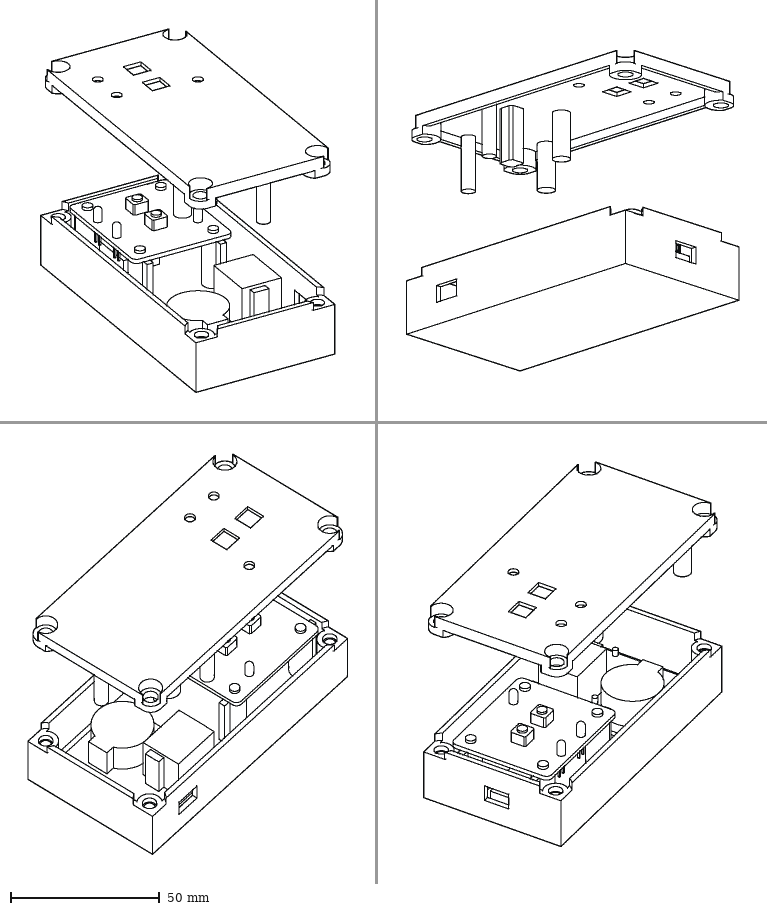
import cadquery as cq
LENGTH = 104.0
WIDTH = 54.0
WALL = 2.0
FLOOR = 2.8
BOX_HEIGHT = 22.0
TOTAL_HEIGHT = 76.7

NOTCH_DEPTH = 3.0
NOTCH_DIAMETER = 11.0
SHELF_Z = BOX_HEIGHT - NOTCH_DEPTH

POST_INSET_X = 4.0
POST_INSET_Y = 4.5
POST_DIAMETER = 8.7
POST_BOTTOM = 6.5
THREAD_MAJOR_DIAMETER = 4.83
THREAD_MINOR_DIAMETER = 3.82
THREAD_DEPTH = 2.0

WINDOW_WIDTH = 9.5
WINDOW_HEIGHT = 6.0
WINDOW_BOTTOM = 7.9
USB_Y = 25.3
CABLE_X = 85.0

CONTROL_X = 27.0
CONTROL_Y = 27.0
CONTROL_LENGTH = 44.5
CONTROL_WIDTH = 38.5
CONTROL_CORNER = 2.2
BOARD_THICKNESS = 1.6
CONTROL_BOTTOM = 21.1
CONTROL_TOP = CONTROL_BOTTOM + BOARD_THICKNESS
SUPPORT_SPACING_X = 35.1
SUPPORT_SPACING_Y = 28.5
SUPPORT_DIAMETER = 8.0
SUPPORT_RIB_REACH = 6.8
SUPPORT_RIB_WIDTH = 2.4
PEG_DIAMETER = 3.6
PEG_TOP = CONTROL_TOP + 1.1

BUTTON_PLACES = [(18.8, 26.6), (31.5, 26.6)]
BUTTON_SIZE = 6.0
BUTTON_HEIGHT = 4.0
BUTTON_CHAMFER = 0.5
CAP_DIAMETER = 3.5
CAP_HEIGHT = 0.8
LED_PLACES = [(18.8, 11.3), (31.5, 11.3), (35.7, 40.4)]
LED_DIAMETER = 3.0
LED_BODY_HEIGHT = 3.8
LED_PIN_SIZE = 0.6
LED_PIN_SPACING = 2.54
LED_PIN_BOTTOM = 14.0

RELAY_BOARD_X = (60.4, 99.5)
RELAY_BOARD_Y = (4.8, 49.2)
RELAY_BOARD_TOP = FLOOR + BOARD_THICKNESS
RELAY_LENGTH = 19.0
RELAY_WIDTH = 15.3
RELAY_X = 62.0
RELAY_Y = 31.3
RELAY_TOP = 20.4
RELAY_TAB_LENGTH = 2.6
RELAY_TAB_Y = (34.4, 40.2)
RELAY_TAB_TOP = 19.2
CELL_X = 75.2
CELL_Y = 17.6
CELL_DIAMETER = 21.2
CELL_TOP = 14.9
CELL_TAIL_REACH = 13.2
CELL_TAIL_WIDTH = 8.0
PIN_PLACES = [(98.4, 38.5), (71.4, 30.1)]
PIN_DIAMETER = 2.0
PIN_HEIGHT = 2.4

CHARGER_LENGTH = 22.0
CHARGER_WIDTH = 14.0
USB_LENGTH = 6.0
USB_WIDTH = 7.4
USB_HEIGHT = 3.0

LID_THICKNESS = 4.5
LID_PLATE = 1.5
TAB_HEIGHT = 3.0
LID_BOTTOM = TOTAL_HEIGHT - LID_THICKNESS
PLATE_BOTTOM = TOTAL_HEIGHT - LID_PLATE
TAB_BOTTOM = LID_BOTTOM - TAB_HEIGHT
LID_SCREW_INSET = 4.3
TAB_DIAMETER = 10.9
HEAD_DIAMETER = 8.0
SCREW_DIAMETER = 5.1
BUTTON_WINDOW = 6.8
LED_HOLE_DIAMETER = 3.6
ROUND_STUD_PLACES = [(60.15, 24.2), (86.6, 4.9)]
ROUND_STUD_DIAMETER = 6.2
ROUND_STUD_LENGTH = 13.4
THIN_STUD_PLACES = [(69.2, 49.4), (99.95, 28.6)]
THIN_STUD_DIAMETER = 4.83
LONG_STUD_LENGTH = 16.3
SQUARE_STUD_PLACE = (69.15, 38.9)
SQUARE_STUD_SIZE = 6.2
SQUARE_STUD_CHAMFER_X = 1.3
SQUARE_STUD_CHAMFER_Y = 0.6


def block(x_range, y_range, z_range):
    """Box between low and high values on each axis."""
    size = [high - low for low, high in (x_range, y_range, z_range)]
    return cq.Workplane("XY", origin=(x_range[0], y_range[0], z_range[0])).box(*size, centered=False)


def around(middle, size):
    """Low and high value of a stretch of the given size about its middle."""
    return (middle - size / 2, middle + size / 2)


def rod(place, diameter, bottom, top):
    """Upright cylinder."""
    return cq.Workplane("XY", origin=(*place, bottom)).circle(diameter / 2).extrude(top - bottom)


def corners(inset_x, inset_y):
    """The four points set in from the sides of the enclosure."""
    return [(x, y) for x in (inset_x, LENGTH - inset_x) for y in (inset_y, WIDTH - inset_y)]


def corner_block(place, z_range):
    """Block from a point near a corner out to the two outer sides of that corner."""
    x, y = place
    x_range = sorted((x, 0 if x < LENGTH / 2 else LENGTH))
    y_range = sorted((y, 0 if y < WIDTH / 2 else WIDTH))
    return block(x_range, y_range, z_range)


SUPPORT_PLACES = [
    (x, y) for x in around(CONTROL_X, SUPPORT_SPACING_X) for y in around(CONTROL_Y, SUPPORT_SPACING_Y)
]


def support_post(place):
    """Post with an outward rib and a peg that locates the control board."""
    x, y = place
    post = rod(place, SUPPORT_DIAMETER, FLOOR, CONTROL_BOTTOM)
    outward = 1 if x > CONTROL_X else -1
    rib_x = sorted((x, x + outward * SUPPORT_RIB_REACH))
    rib = block(rib_x, around(y, SUPPORT_RIB_WIDTH), (FLOOR, CONTROL_BOTTOM))
    return post.union(rib).union(rod(place, PEG_DIAMETER, FLOOR, PEG_TOP))


def make_box():
    outer = block((0, LENGTH), (0, WIDTH), (0, BOX_HEIGHT))
    body = outer.cut(block((WALL, LENGTH - WALL), (WALL, WIDTH - WALL), (FLOOR, BOX_HEIGHT)))
    for place in corners(POST_INSET_X, POST_INSET_Y):
        body = body.union(rod(place, POST_DIAMETER, POST_BOTTOM, SHELF_Z).intersect(outer))
        body = body.union(corner_block(place, (POST_BOTTOM, SHELF_Z)))
        body = body.cut(rod(place, NOTCH_DIAMETER, SHELF_Z, BOX_HEIGHT))
        body = body.cut(corner_block(place, (SHELF_Z, BOX_HEIGHT)))
        body = body.cut(rod(place, THREAD_MINOR_DIAMETER, POST_BOTTOM, SHELF_Z))
        body = body.cut(rod(place, THREAD_MAJOR_DIAMETER, SHELF_Z - THREAD_DEPTH, SHELF_Z))
    window_z = (WINDOW_BOTTOM, WINDOW_BOTTOM + WINDOW_HEIGHT)
    body = body.cut(block((0, WALL), around(USB_Y, WINDOW_WIDTH), window_z))
    body = body.cut(block(around(CABLE_X, WINDOW_WIDTH), (WIDTH - WALL, WIDTH), window_z))
    for place in SUPPORT_PLACES:
        body = body.union(support_post(place))
    return body


def push_button(place):
    x, y = place
    body_top = CONTROL_TOP + BUTTON_HEIGHT
    body = block(around(x, BUTTON_SIZE), around(y, BUTTON_SIZE), (CONTROL_TOP, body_top))
    body = body.edges("|Z").chamfer(BUTTON_CHAMFER)
    return body.union(rod(place, CAP_DIAMETER, body_top, body_top + CAP_HEIGHT))


def led(place):
    """Domed LED with two pins that pass below the board."""
    x, y = place
    body_top = CONTROL_TOP + LED_BODY_HEIGHT
    body = rod(place, LED_DIAMETER, CONTROL_TOP, body_top)
    body = body.union(cq.Workplane("XY", origin=(x, y, body_top)).sphere(LED_DIAMETER / 2))
    for pin_x in around(x, LED_PIN_SPACING):
        pin = block(around(pin_x, LED_PIN_SIZE), around(y, LED_PIN_SIZE), (LED_PIN_BOTTOM, CONTROL_TOP))
        body = body.union(pin)
    return body


def make_control_board():
    board = block(
        around(CONTROL_X, CONTROL_LENGTH),
        around(CONTROL_Y, CONTROL_WIDTH),
        (CONTROL_BOTTOM, CONTROL_TOP),
    )
    board = board.edges("|Z").fillet(CONTROL_CORNER)
    for place in SUPPORT_PLACES:
        board = board.cut(rod(place, PEG_DIAMETER, CONTROL_BOTTOM, CONTROL_TOP))
    for place in BUTTON_PLACES:
        board = board.union(push_button(place))
    for place in LED_PLACES:
        board = board.union(led(place))
    return board


def make_relay_board():
    top = RELAY_BOARD_TOP
    board = block(RELAY_BOARD_X, RELAY_BOARD_Y, (FLOOR, top))
    relay_end = RELAY_X + RELAY_LENGTH
    board = board.union(block((RELAY_X, relay_end), (RELAY_Y, RELAY_Y + RELAY_WIDTH), (top, RELAY_TOP)))
    board = board.union(block((relay_end, relay_end + RELAY_TAB_LENGTH), RELAY_TAB_Y, (top, RELAY_TAB_TOP)))
    board = board.union(rod((CELL_X, CELL_Y), CELL_DIAMETER, top, CELL_TOP))
    tail = block((CELL_X, CELL_X + CELL_TAIL_REACH), around(CELL_Y, CELL_TAIL_WIDTH), (top, CELL_TOP))
    board = board.union(tail)
    for place in PIN_PLACES:
        board = board.union(rod(place, PIN_DIAMETER, top, top + PIN_HEIGHT))
    return board


def make_charger():
    """Small board behind the -X window, standing on the floor of the box."""
    board = block((WALL, WALL + CHARGER_LENGTH), around(USB_Y, CHARGER_WIDTH), (FLOOR, WINDOW_BOTTOM))
    socket_z = (WINDOW_BOTTOM, WINDOW_BOTTOM + USB_HEIGHT)
    return board.union(block((WALL, WALL + USB_LENGTH), around(USB_Y, USB_WIDTH), socket_z))


def square_stud():
    """Square stud with chamfered corners, from the lid plate down."""
    half = SQUARE_STUD_SIZE / 2
    flat_x = half - SQUARE_STUD_CHAMFER_X
    flat_y = half - SQUARE_STUD_CHAMFER_Y
    outline = [
        (half, -flat_y), (half, flat_y), (flat_x, half), (-flat_x, half),
        (-half, flat_y), (-half, -flat_y), (-flat_x, -half), (flat_x, -half),
    ]
    bottom = LID_BOTTOM - LONG_STUD_LENGTH
    plane = cq.Workplane("XY", origin=(*SQUARE_STUD_PLACE, bottom))
    return plane.polyline(outline).close().extrude(PLATE_BOTTOM - bottom)


def make_lid():
    outline = block((0, LENGTH), (0, WIDTH), (TAB_BOTTOM, TOTAL_HEIGHT))
    outline = outline.edges("|Z").fillet(LID_SCREW_INSET)
    lid = outline.intersect(block((0, LENGTH), (0, WIDTH), (LID_BOTTOM, TOTAL_HEIGHT)))
    lid = lid.cut(block((WALL, LENGTH - WALL), (WALL, WIDTH - WALL), (LID_BOTTOM, PLATE_BOTTOM)))
    for place in ROUND_STUD_PLACES:
        lid = lid.union(rod(place, ROUND_STUD_DIAMETER, LID_BOTTOM - ROUND_STUD_LENGTH, PLATE_BOTTOM))
    for place in THIN_STUD_PLACES:
        lid = lid.union(rod(place, THIN_STUD_DIAMETER, LID_BOTTOM - LONG_STUD_LENGTH, PLATE_BOTTOM))
    lid = lid.union(square_stud())
    for place in corners(LID_SCREW_INSET, LID_SCREW_INSET):
        lid = lid.union(rod(place, TAB_DIAMETER, TAB_BOTTOM, PLATE_BOTTOM).intersect(outline))
        lid = lid.cut(rod(place, HEAD_DIAMETER, LID_BOTTOM, TOTAL_HEIGHT))
        lid = lid.cut(corner_block(place, (LID_BOTTOM, TOTAL_HEIGHT)))
        lid = lid.cut(rod(place, SCREW_DIAMETER, TAB_BOTTOM, LID_BOTTOM))
    for x, y in BUTTON_PLACES:
        window = block(around(x, BUTTON_WINDOW), around(y, BUTTON_WINDOW), (PLATE_BOTTOM, TOTAL_HEIGHT))
        lid = lid.cut(window)
    for place in LED_PLACES:
        lid = lid.cut(rod(place, LED_HOLE_DIAMETER, PLATE_BOTTOM, TOTAL_HEIGHT))
    return lid


box = make_box()
control_board = make_control_board()
relay_board = make_relay_board()
charger = make_charger()
lid = make_lid()

result = cq.Compound.makeCompound([
    *box.solids().vals(),
    *control_board.solids().vals(),
    *relay_board.solids().vals(),
    *charger.solids().vals(),
    *lid.solids().vals(),
])